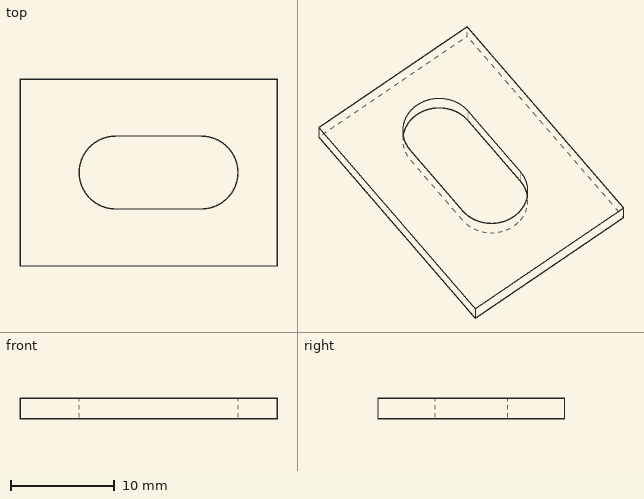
import cadquery as cq

plate_length = 24.8
plate_width = 18.0
plate_thickness = 2.0

slot_length = 15.28
slot_width = 7.0
slot_offset = 0.95

plate = cq.Workplane("XY").box(plate_length, plate_width, plate_thickness)

result = (
    plate.faces(">Z")
    .workplane()
    .center(slot_offset, 0)
    .slot2D(slot_length, slot_width)
    .cutThruAll()
)